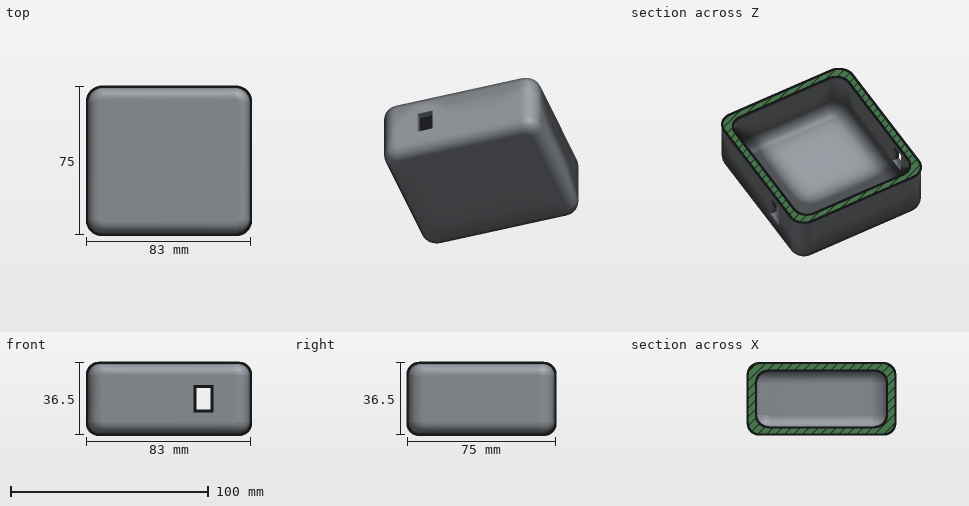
import cadquery as cq

LENGTH = 83.0
WIDTH = 75.0
HEIGHT = 36.5
CORNER_RADIUS = 7.9375
EDGE_RADIUS = 6.35

WALL = 3.5

WINDOW_WIDTH = 8.0
WINDOW_HEIGHT = 12.0
WINDOW_CENTER_X = 17.5
WINDOW_CHAMFER = 0.5


def rounded_box(inset):
    """Centred box with rounded corners and edges, its flat faces moved inward by inset."""
    return (
        cq.Workplane("XY")
        .box(LENGTH - 2 * inset, WIDTH - 2 * inset, HEIGHT - 2 * inset)
        .edges("|Z")
        .fillet(CORNER_RADIUS)
        .faces("|Z")
        .edges()
        .fillet(EDGE_RADIUS)
    )


def window():
    """Straight rectangular cutter running through the whole width."""
    return (
        cq.Workplane("XY")
        .box(WINDOW_WIDTH, WIDTH, WINDOW_HEIGHT)
        .translate((WINDOW_CENTER_X, 0, 0))
    )


def window_chamfer():
    """Cutter that bevels the outer rim of the window in the -Y wall."""
    return (
        cq.Workplane("XZ", origin=(WINDOW_CENTER_X, 0, 0))
        .workplane(offset=WIDTH / 2 - WINDOW_CHAMFER)
        .rect(WINDOW_WIDTH, WINDOW_HEIGHT)
        .workplane(offset=WINDOW_CHAMFER)
        .rect(WINDOW_WIDTH + 2 * WINDOW_CHAMFER, WINDOW_HEIGHT + 2 * WINDOW_CHAMFER)
        .loft(ruled=True)
    )


shell = rounded_box(0).cut(rounded_box(WALL))
result = shell.cut(window()).cut(window_chamfer())